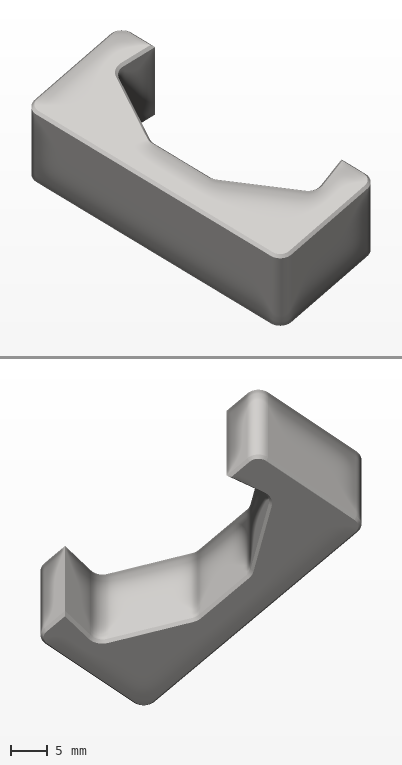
import cadquery as cq
import math

length = 45.2
depth = 20.0
height = 14.0
corner_radius = 2.0
edge_chamfer = 0.4

floor_thickness = 6.0
floor_half_width = 5.42
widest_half_width = 17.65
ramp_angle = math.radians(30)
lip_angle = math.radians(10)

back = depth / 2
floor_y = floor_thickness - depth / 2
ramp_rise = (widest_half_width - floor_half_width) * math.tan(ramp_angle)
widest_y = floor_y + ramp_rise
mouth_half_width = widest_half_width - (back - widest_y) * math.tan(lip_angle)


def make_block():
    block = cq.Workplane("XY").box(length, depth, height)
    return block.edges("|Z").fillet(corner_radius)


def make_opening():
    """Cutter with rounded bends and sharp corners at the mouth."""
    right_side = [
        (floor_half_width, floor_y),
        (widest_half_width, widest_y),
        (mouth_half_width, back),
    ]
    left_side = [(-x, y) for x, y in reversed(right_side)]
    cutter = (
        cq.Workplane("XY")
        .workplane(offset=-height / 2)
        .polyline(right_side + left_side)
        .close()
        .extrude(height)
    )
    return cutter.edges("|Z and (not >Y)").fillet(corner_radius)


result = make_block().cut(make_opening()).faces("|Z").edges().chamfer(edge_chamfer)